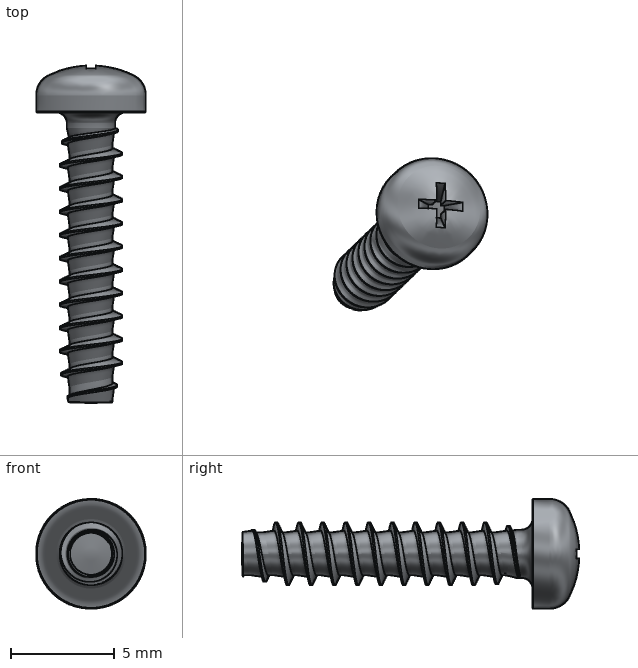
import cadquery as cq
import math

total_length = 16.27

head_radius = 2.65
dome_height = 2.28
rim_height = 0.83
shoulder_radius = 1.07
bearing_edge_chamfer = 0.05

recess_width = 0.44
recess_top_length = 2.44
recess_bottom_length = 0.81
recess_depth = 0.98

neck_radius = 1.17
neck_length = 0.75
neck_cone_length = 0.55
neck_fillet = 0.5

core_radius = 1.04
tip_face_radius = 1.01
tip_edge_length = 0.08
tip_cone_height = 0.03

thread_radius = 1.51
nine_turns_length = 10.07
pitch = nine_turns_length / 9
crest_width = 0.08
head_flank_reach = 0.26
tip_flank_reach = 0.11
foot_radius = 1.12
slope_reach = 0.76
slope_end_radius = 1.03
thread_base_radius = 0.96

start_depth = 0.67
start_angle = -63.0
start_crest_radius = 1.27
full_start_depth = 1.97
full_end_depth = 12.41
crest_fall = 0.33
end_crest_radius = 1.14
points_per_turn = 16

shoulder_x = head_radius - shoulder_radius
shoulder_drop = dome_height - rim_height
arc_top_to_apex = shoulder_drop - shoulder_radius
dome_radius = (shoulder_x**2 + shoulder_drop**2 - shoulder_radius**2) / (2 * arc_top_to_apex)
dome_centre = dome_height - dome_radius

recess_corner_radius = recess_width / math.sqrt(2)
head_height = dome_centre + math.sqrt(dome_radius**2 - recess_corner_radius**2)
tip_y = head_height - total_length


def make_blank():
    """Head, neck and plain core turned about the axis."""
    dome_angle = math.asin(shoulder_x / (dome_radius - shoulder_radius))
    shoulder_angle = (dome_angle + math.pi / 2) / 2
    fillet_inset = neck_fillet * (1 - math.sqrt(0.5))

    def dome_point(angle):
        return (dome_radius * math.sin(angle), dome_centre + dome_radius * math.cos(angle))

    shoulder_middle = (
        shoulder_x + shoulder_radius * math.sin(shoulder_angle),
        rim_height + shoulder_radius * math.cos(shoulder_angle),
    )
    outline = (
        cq.Workplane("XY")
        .moveTo(0, dome_height)
        .threePointArc(dome_point(dome_angle / 2), dome_point(dome_angle))
        .threePointArc(shoulder_middle, (head_radius, rim_height))
        .lineTo(head_radius, bearing_edge_chamfer)
        .lineTo(head_radius - bearing_edge_chamfer, 0)
        .lineTo(neck_radius + neck_fillet, 0)
        .threePointArc((neck_radius + fillet_inset, -fillet_inset), (neck_radius, -neck_fillet))
        .lineTo(neck_radius, -neck_length)
        .lineTo(core_radius, -neck_length - neck_cone_length)
        .lineTo(core_radius, tip_y + tip_edge_length)
        .lineTo(tip_face_radius, tip_y + tip_cone_height)
        .lineTo(0, tip_y)
        .close()
    )
    return outline.revolve(360, (0, 0, 0), (0, 1, 0))


def make_recess():
    """Two crossed wings that get shorter towards the bottom."""
    wing = (
        cq.Workplane("XY")
        .moveTo(-recess_top_length / 2, dome_height)
        .lineTo(recess_top_length / 2, dome_height)
        .lineTo(recess_bottom_length / 2, dome_height - recess_depth)
        .lineTo(-recess_bottom_length / 2, dome_height - recess_depth)
        .close()
        .extrude(recess_width / 2, both=True)
    )
    return wing.union(wing.rotate((0, 0, 0), (0, 1, 0), 90))


def crest_radius_at(depth):
    """Crest radius: rises from the start, stays full, then fades out towards the tip."""
    start_rise = (thread_radius - start_crest_radius) / (full_start_depth - start_depth)
    rising = start_crest_radius + start_rise * (depth - start_depth)
    falling = thread_radius - crest_fall * (depth - full_end_depth)
    return max(end_crest_radius, min(rising, thread_radius, falling))


def thread_section(crest_radius):
    """Corners (radius, offset) of the thread; the flanks keep their slope on a lower crest."""
    half_crest = crest_width / 2
    head_slope = (head_flank_reach - half_crest) / (thread_radius - core_radius)
    tip_slope = (tip_flank_reach - half_crest) / (thread_radius - foot_radius)
    return [
        (thread_base_radius, -half_crest - head_slope * (crest_radius - thread_base_radius)),
        (crest_radius, -half_crest),
        (crest_radius, half_crest),
        (foot_radius, half_crest + tip_slope * (crest_radius - foot_radius)),
        (slope_end_radius, slope_reach),
        (thread_base_radius, slope_reach),
    ]


def section_corners(depth):
    """Corners in space of the thread section whose crest lies at the given depth."""
    angle = math.radians(start_angle) + 2 * math.pi * (depth - start_depth) / pitch
    return [
        cq.Vector(radius * math.cos(angle), -depth - offset, radius * math.sin(angle))
        for radius, offset in thread_section(crest_radius_at(depth))
    ]


def ruled_faces(sections):
    """Faces ruled between neighbouring corner paths through the given sections."""
    paths = [cq.Edge.makeSpline(list(corners)) for corners in zip(*sections)]
    return [cq.Face.makeRuledSurface(path, paths[i - 1]) for i, path in enumerate(paths)]


def make_tip_trim():
    """Everything beyond the tip face and its sloping edge."""
    edge_y = tip_y + tip_cone_height
    outline = (
        cq.Workplane("XY")
        .moveTo(0, edge_y)
        .lineTo(tip_face_radius, edge_y)
        .lineTo(end_crest_radius, tip_y + tip_edge_length)
        .lineTo(head_radius, tip_y + tip_edge_length)
        .lineTo(head_radius, tip_y - pitch)
        .lineTo(0, tip_y - pitch)
        .close()
    )
    return outline.revolve(360, (0, 0, 0), (0, 1, 0))


def make_thread():
    """Thread body: one group of ruled faces per turn and a flat face at either end."""
    step = pitch / points_per_turn
    step_count = math.ceil((-tip_y - start_depth) / step)
    sections = [section_corners(start_depth + step * i) for i in range(step_count + 1)]
    faces = []
    for first in range(0, step_count, points_per_turn):
        faces += ruled_faces(sections[first : first + points_per_turn + 1])
    for end in (sections[0], sections[-1]):
        faces.append(cq.Face.makeFromWires(cq.Wire.makePolygon(end, close=True)))
    body = cq.Solid.makeSolid(cq.Shell.makeShell(faces))
    return cq.Workplane(obj=body).cut(make_tip_trim())


result = make_blank().cut(make_recess()).union(make_thread())